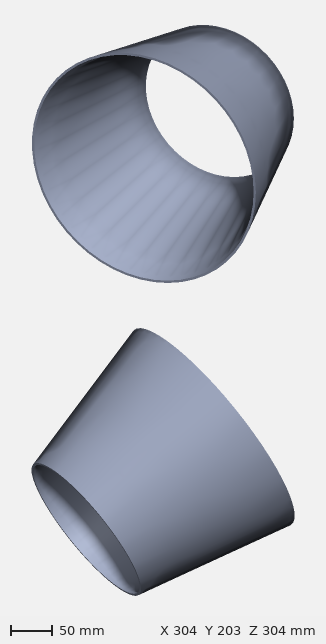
import cadquery as cq

large_diameter = 304.0
small_diameter = 204.0
length = 203.0
wall = 3.0

large_radius = large_diameter / 2
small_radius = small_diameter / 2

wall_section = [
    (large_radius - wall, -length / 2),
    (large_radius, -length / 2),
    (small_radius, length / 2),
    (small_radius - wall, length / 2),
]

result = (
    cq.Workplane("XY")
    .polyline(wall_section)
    .close()
    .revolve(360, (0, 0, 0), (0, 1, 0))
)